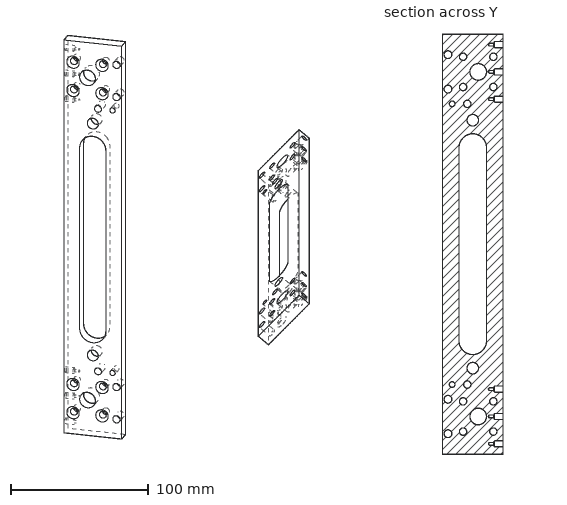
import cadquery as cq
import math

WIDTH = 44.0
THICKNESS = 10.0
LENGTH = 305.0
FRONT_Y = -THICKNESS / 2

SLOT_WIDTH = 19.8
SLOT_LENGTH = 160.0

PATTERN_X = -4.0
PATTERN_Z = 125.0
BORE_DIAMETER = 12.0

SCREW_SPACING = 22.0
SCREW_DIAMETER = 5.2
SINK_DIAMETER = 9.5
SINK_ANGLE = 90

EDGE_HOLE_X = 18.0
EDGE_HOLE_SPACING = 25.0
EDGE_HOLE_DIAMETER = 5.5

PIN_Z = 102.0
PIN_X = 4.0
PIN_DIAMETER = 5.2
SMALL_PIN_X = 15.0
SMALL_PIN_DIAMETER = 4.0

CENTRE_HOLE_Z = 90.0
CENTRE_HOLE_DIAMETER = 8.2

SIDE_HOLE_SPACING = 19.8
SIDE_HOLE_DIAMETER = 4.3
SIDE_HOLE_DEPTH = 6.0
PILOT_DIAMETER = 1.8
PILOT_END_DEPTH = 10.0
DRILL_TIP_ANGLE = 118


def front_plane(body):
    """Sketch plane on the front face: local x is X, local y is Z."""
    return body.copyWorkplane(cq.Workplane("XZ", origin=(0, FRONT_Y, 0)))


def both_ends(points):
    """Repeat upper-end points at the lower end."""
    return [(x, end * z) for end in (1, -1) for x, z in points]


def cut_through_holes(body, points, diameter):
    return front_plane(body).pushPoints(both_ends(points)).hole(diameter)


def cut_slot(body):
    return front_plane(body).slot2D(SLOT_LENGTH, SLOT_WIDTH, 90).cutBlind(-THICKNESS)


def cut_screw_holes(body):
    half = SCREW_SPACING / 2
    points = [
        (PATTERN_X + dx, PATTERN_Z + dz)
        for dx in (-half, half)
        for dz in (-half, half)
    ]
    sketch = front_plane(body).pushPoints(both_ends(points))
    return sketch.cskHole(SCREW_DIAMETER, SINK_DIAMETER, SINK_ANGLE)


def cut_side_holes(body):
    """Drill blind holes from the -X side, each narrowing to a pilot with a conical end."""
    radius = SIDE_HOLE_DIAMETER / 2
    pilot_radius = PILOT_DIAMETER / 2
    cone_slope = math.tan(math.radians(DRILL_TIP_ANGLE / 2))
    shoulder_length = (radius - pilot_radius) / cone_slope
    tip_length = pilot_radius / cone_slope
    drill = (
        cq.Workplane("XY")
        .lineTo(0, radius)
        .lineTo(SIDE_HOLE_DEPTH, radius)
        .lineTo(SIDE_HOLE_DEPTH + shoulder_length, pilot_radius)
        .lineTo(PILOT_END_DEPTH, pilot_radius)
        .lineTo(PILOT_END_DEPTH + tip_length, 0)
        .close()
        .revolve(360, (0, 0, 0), (1, 0, 0))
    )
    points = [(-WIDTH / 2, PATTERN_Z + step * SIDE_HOLE_SPACING) for step in (-1, 0, 1)]
    for x, z in both_ends(points):
        body = body.cut(drill.translate((x, 0, z)))
    return body


edge_half = EDGE_HOLE_SPACING / 2
edge_points = [(EDGE_HOLE_X, PATTERN_Z + dz) for dz in (-edge_half, edge_half)]

plate = cq.Workplane("XY").box(WIDTH, THICKNESS, LENGTH)
plate = cut_slot(plate)
plate = cut_through_holes(plate, [(PATTERN_X, PATTERN_Z)], BORE_DIAMETER)
plate = cut_screw_holes(plate)
plate = cut_through_holes(plate, edge_points, EDGE_HOLE_DIAMETER)
plate = cut_through_holes(plate, [(PIN_X, PIN_Z)], PIN_DIAMETER)
plate = cut_through_holes(plate, [(SMALL_PIN_X, PIN_Z)], SMALL_PIN_DIAMETER)
plate = cut_through_holes(plate, [(0, CENTRE_HOLE_Z)], CENTRE_HOLE_DIAMETER)
result = cut_side_holes(plate)